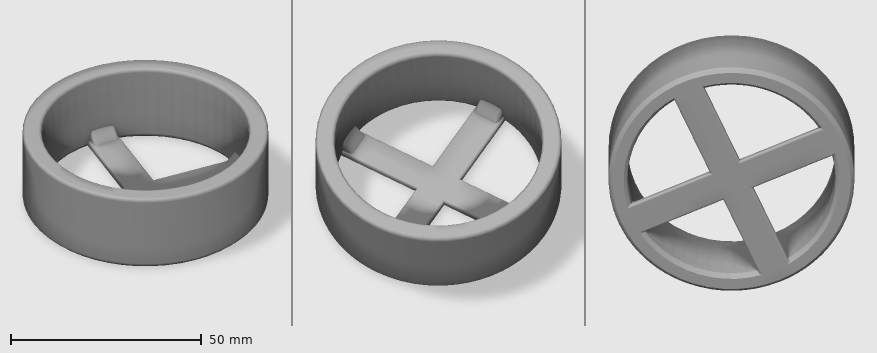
import cadquery as cq
import math

outer_radius = 32.25
bore_radius = 54.5 / 2
ring_height = 22.0
top_rounding = 0.95
bottom_chamfer = 1.0
chamfer_blend = 0.95

bar_width = 8.5
bar_height = 2.0
bar_rounding = 0.65
bar_end_radius = (outer_radius + bore_radius) / 2

wedge_width = bar_width - 2 * bar_rounding
wedge_start = 24.2
wedge_angle = 45.0
wedge_rounding = 0.95
wall_overlap = 0.65


def make_ring():
    body = cq.Workplane("XY").circle(outer_radius).circle(bore_radius).extrude(ring_height)
    body = body.faces("<Z").edges().chamfer(bottom_chamfer)
    walls_bottom = cq.selectors.BoxSelector(
        (-2 * outer_radius, -2 * outer_radius, bottom_chamfer / 2),
        (2 * outer_radius, 2 * outer_radius, bottom_chamfer * 1.5),
        boundingbox=True,
    )
    body = body.edges("%CIRCLE").edges(walls_bottom).fillet(chamfer_blend)
    return body.faces(">Z").edges().fillet(top_rounding)


def make_cross():
    length = 2 * bar_end_radius
    cross = (
        cq.Workplane("XY")
        .rect(length, bar_width)
        .extrude(bar_height)
        .union(cq.Workplane("XY").rect(bar_width, length).extrude(bar_height))
    )
    return cross.faces(">Z or <Z").edges().fillet(bar_rounding)


def make_wedge():
    """Wedge on the +X bar, rising outward from the bar into the ring wall."""
    run = bar_end_radius - wedge_start
    rise = run * math.tan(math.radians(wedge_angle))
    toe = wedge_start - bar_height / math.tan(math.radians(wedge_angle))
    wedge = (
        cq.Workplane("XZ")
        .moveTo(toe, 0)
        .lineTo(bar_end_radius, bar_height + rise)
        .lineTo(bar_end_radius, 0)
        .close()
        .extrude(wedge_width / 2, both=True)
    )
    slope_edges = wedge.edges("not(|X or |Y or |Z)")
    wedge = slope_edges.fillet(wedge_rounding)
    trim = cq.Workplane("XY").circle(bore_radius + wall_overlap).extrude(ring_height)
    return wedge.intersect(trim)


result = make_ring().union(make_cross())
wedge = make_wedge()
for quarter in range(4):
    result = result.union(wedge.rotate((0, 0, 0), (0, 0, 1), 90 * quarter))